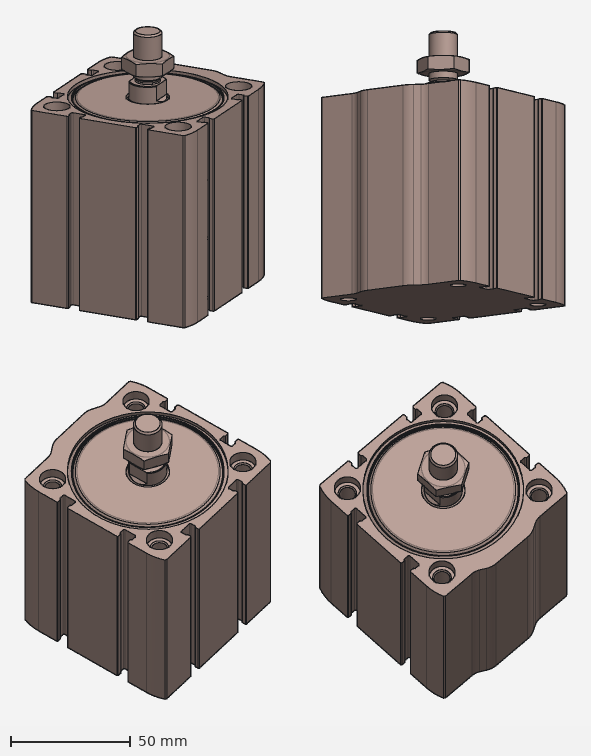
import cadquery as cq
import math

TOTAL_HEIGHT = 114.0
BODY_WIDTH = 75.0
HALF_WIDTH = BODY_WIDTH / 2
BODY_HEIGHT = 85.0
ROD_REACH = TOTAL_HEIGHT - BODY_HEIGHT

HUMP_RISE = 3.5
HUMP_TOP_HALF = 11.5
HUMP_BASE_HALF = 17.9
HUMP_TOP_RADIUS = 9.1
HUMP_BASE_RADIUS = 6.8
FLANK_START = 28.5
FLANK_RADIUS = 22.8
BEVEL_WIDTH = 0.7
BEVEL_DEPTH = 0.5

SLOT_OFFSET = 16.0
SLOT_MOUTH = 5.1
SLOT_CHAMFER = 0.3
SLOT_INNER = 6.4
SLOT_LIP = 2.0
SLOT_DEPTH = 5.1
SLOT_CORNER_RADIUS = 0.51

HOLE_OFFSET = 28.3
HOLE_DIAMETER = 6.6
COUNTERBORE_DIAMETER = 11.0
COUNTERBORE_DEPTH = 4.6
HOLE_CHAMFER = 0.6

RECESS_RADIUS = 67.0 / 2
RECESS_DEPTH = 1.6
RIM_OUTER_RADIUS = 31.9
RIM_DEPTH = 0.7
GROOVE_OUTER_RADIUS = 63.0 / 2
GROOVE_INNER_RADIUS = 31.2
GROOVE_DEPTH = 1.5
CROWN_RADIUS = 30.2
CROWN_DEPTH = 0.51
COVER_RADIUS = 29.5
COVER_DEPTH = 0.3

ROD_RADIUS = 16.0 / 2
ROD_INSERTION = 22.8
ROD_MOUTH_RADIUS = 18.1 / 2
ROD_MOUTH_DEPTH = 1.4
SCRAPER_RISE = 1.0
ROD_SHOULDER = 7.1
ROD_CHAMFER = 0.3
ROD_FLAT_WIDTH = 12.9
FLAT_FOOT = 0.5
FLAT_RAMP_DROP = 1.1
NECK_RADIUS = 9.8 / 2
NECK_FLARE = 0.5
THREAD_RADIUS = 12.0 / 2
THREAD_START = 8.2
THREAD_CHAMFER = 0.8
THREAD_TAPER = 0.8

NUT_FLATS = 19.0
NUT_THICKNESS = 6.2
NUT_BOTTOM = 11.7
NUT_FACE_RADIUS = 18.1 / 2
NUT_CORNER_DROP = 0.5


def revolve_profile(points):
    """Solid of revolution about Z from (radius, height) points."""
    return cq.Workplane("XZ").polyline(points).close().revolve(360, (0, 0, 0), (0, 1, 0))


def housing_blank():
    flank_rise = HALF_WIDTH - BEVEL_DEPTH - FLANK_START

    def flank_x(rise):
        return HALF_WIDTH - FLANK_RADIUS + math.sqrt(FLANK_RADIUS**2 - rise**2)

    end_x = flank_x(flank_rise)
    end_y = FLANK_START + flank_rise
    mid_x = flank_x(flank_rise / 2)
    mid_y = FLANK_START + flank_rise / 2
    edge_x = end_x - BEVEL_WIDTH
    hump_y = HALF_WIDTH + HUMP_RISE

    blank = (
        cq.Workplane("XY")
        .moveTo(-edge_x, -HALF_WIDTH)
        .lineTo(edge_x, -HALF_WIDTH)
        .lineTo(end_x, -end_y)
        .threePointArc((mid_x, -mid_y), (HALF_WIDTH, -FLANK_START))
        .lineTo(HALF_WIDTH, FLANK_START)
        .threePointArc((mid_x, mid_y), (end_x, end_y))
        .lineTo(edge_x, HALF_WIDTH)
        .lineTo(HUMP_BASE_HALF, HALF_WIDTH)
        .lineTo(HUMP_TOP_HALF, hump_y)
        .lineTo(-HUMP_TOP_HALF, hump_y)
        .lineTo(-HUMP_BASE_HALF, HALF_WIDTH)
        .lineTo(-edge_x, HALF_WIDTH)
        .lineTo(-end_x, end_y)
        .threePointArc((-mid_x, mid_y), (-HALF_WIDTH, FLANK_START))
        .lineTo(-HALF_WIDTH, -FLANK_START)
        .threePointArc((-mid_x, -mid_y), (-end_x, -end_y))
        .close()
        .extrude(BODY_HEIGHT)
    )
    mid_z = BODY_HEIGHT / 2
    for x, y, radius in (
        (HUMP_TOP_HALF, hump_y, HUMP_TOP_RADIUS),
        (HUMP_BASE_HALF, HALF_WIDTH, HUMP_BASE_RADIUS),
    ):
        for side in (-1, 1):
            edge = cq.selectors.NearestToPointSelector((side * x, y, mid_z))
            blank = blank.edges("|Z").edges(edge).fillet(radius)
    return blank


def sensor_slot(offset):
    """Full-height T-slot in the -Y side, centred at X = offset."""
    mouth = SLOT_MOUTH / 2
    inner = SLOT_INNER / 2
    half_outline = [
        (mouth + SLOT_CHAMFER, 0),
        (mouth, SLOT_CHAMFER),
        (mouth, SLOT_LIP),
        (inner, SLOT_LIP),
        (inner, SLOT_DEPTH),
    ]
    mirrored = [(-x, y) for x, y in reversed(half_outline)]
    slot = cq.Workplane("XY").polyline(half_outline + mirrored).close().extrude(BODY_HEIGHT)
    for side_face in ("<X", ">X"):
        slot = slot.faces(side_face).edges("|Z").fillet(SLOT_CORNER_RADIUS)
    return slot.translate((offset, -HALF_WIDTH, 0))


def mounting_hole():
    seat = BODY_HEIGHT - COUNTERBORE_DEPTH
    bore = HOLE_DIAMETER / 2
    counterbore = COUNTERBORE_DIAMETER / 2
    return revolve_profile([
        (0, 0),
        (bore, 0),
        (bore, seat - HOLE_CHAMFER),
        (bore + HOLE_CHAMFER, seat),
        (counterbore, seat),
        (counterbore, BODY_HEIGHT),
        (0, BODY_HEIGHT),
    ])


def cover_recess():
    """Material removed above the end cover, down to its rim, groove and cones."""
    return revolve_profile([
        (0, BODY_HEIGHT),
        (RECESS_RADIUS, BODY_HEIGHT),
        (RECESS_RADIUS, BODY_HEIGHT - RECESS_DEPTH),
        (RIM_OUTER_RADIUS, BODY_HEIGHT - RIM_DEPTH),
        (GROOVE_OUTER_RADIUS, BODY_HEIGHT - RIM_DEPTH),
        (GROOVE_OUTER_RADIUS, BODY_HEIGHT - GROOVE_DEPTH),
        (GROOVE_INNER_RADIUS, BODY_HEIGHT - GROOVE_DEPTH),
        (CROWN_RADIUS, BODY_HEIGHT - CROWN_DEPTH),
        (COVER_RADIUS, BODY_HEIGHT - COVER_DEPTH),
        (0, BODY_HEIGHT - COVER_DEPTH),
    ])


def rod_bore():
    """Blind bore for the rod; a cone around the rod rises inside the wider mouth."""
    cover_face = BODY_HEIGHT - COVER_DEPTH
    mouth_floor = cover_face - ROD_MOUTH_DEPTH
    bore_floor = BODY_HEIGHT - ROD_INSERTION
    return revolve_profile([
        (0, bore_floor),
        (ROD_RADIUS, bore_floor),
        (ROD_RADIUS, mouth_floor + SCRAPER_RISE),
        (ROD_MOUTH_RADIUS, mouth_floor),
        (ROD_MOUTH_RADIUS, cover_face),
        (0, cover_face),
    ])


def make_housing():
    housing = housing_blank()
    for side_angle in (-90, 0, 90):
        for side in (-1, 1):
            slot = sensor_slot(side * SLOT_OFFSET)
            housing = housing.cut(slot.rotate((0, 0, 0), (0, 0, 1), side_angle))
    for x in (-HOLE_OFFSET, HOLE_OFFSET):
        for y in (-HOLE_OFFSET, HOLE_OFFSET):
            housing = housing.cut(mounting_hole().translate((x, y, 0)))
    return housing.cut(cover_recess()).cut(rod_bore())


def make_rod():
    rod = revolve_profile([
        (0, -ROD_INSERTION),
        (ROD_RADIUS, -ROD_INSERTION),
        (ROD_RADIUS, ROD_SHOULDER - ROD_CHAMFER),
        (ROD_RADIUS - ROD_CHAMFER, ROD_SHOULDER),
        (NECK_RADIUS + NECK_FLARE, ROD_SHOULDER),
        (NECK_RADIUS, ROD_SHOULDER + NECK_FLARE),
        (NECK_RADIUS, THREAD_START),
        (THREAD_RADIUS, THREAD_START + THREAD_TAPER),
        (THREAD_RADIUS, ROD_REACH - THREAD_CHAMFER),
        (THREAD_RADIUS - THREAD_CHAMFER, ROD_REACH),
        (0, ROD_REACH),
    ])
    flat_x = ROD_FLAT_WIDTH / 2
    flat_cut = (
        cq.Workplane("XZ")
        .polyline([
            (flat_x, FLAT_FOOT),
            (ROD_RADIUS, FLAT_FOOT - FLAT_RAMP_DROP),
            (ROD_RADIUS, ROD_SHOULDER),
            (flat_x, ROD_SHOULDER),
        ])
        .close()
        .extrude(ROD_RADIUS, both=True)
    )
    rod = rod.cut(flat_cut).cut(flat_cut.mirror("YZ"))
    return rod.translate((0, 0, BODY_HEIGHT))


def make_nut():
    corner_radius = NUT_FLATS / 2 / math.cos(math.radians(30))
    hexagon = (
        cq.Workplane("XY")
        .polygon(6, 2 * corner_radius)
        .extrude(NUT_THICKNESS)
        .rotate((0, 0, 0), (0, 0, 1), 30)
    )
    chamfered = revolve_profile([
        (0, 0),
        (NUT_FACE_RADIUS, 0),
        (corner_radius, NUT_CORNER_DROP),
        (corner_radius, NUT_THICKNESS - NUT_CORNER_DROP),
        (NUT_FACE_RADIUS, NUT_THICKNESS),
        (0, NUT_THICKNESS),
    ])
    bore = cq.Workplane("XY").circle(THREAD_RADIUS).extrude(NUT_THICKNESS)
    nut = hexagon.intersect(chamfered).cut(bore)
    return nut.translate((0, 0, BODY_HEIGHT + NUT_BOTTOM))


housing = make_housing()
rod = make_rod()
nut = make_nut()

result = cq.Compound.makeCompound([housing.val(), rod.val(), nut.val()])